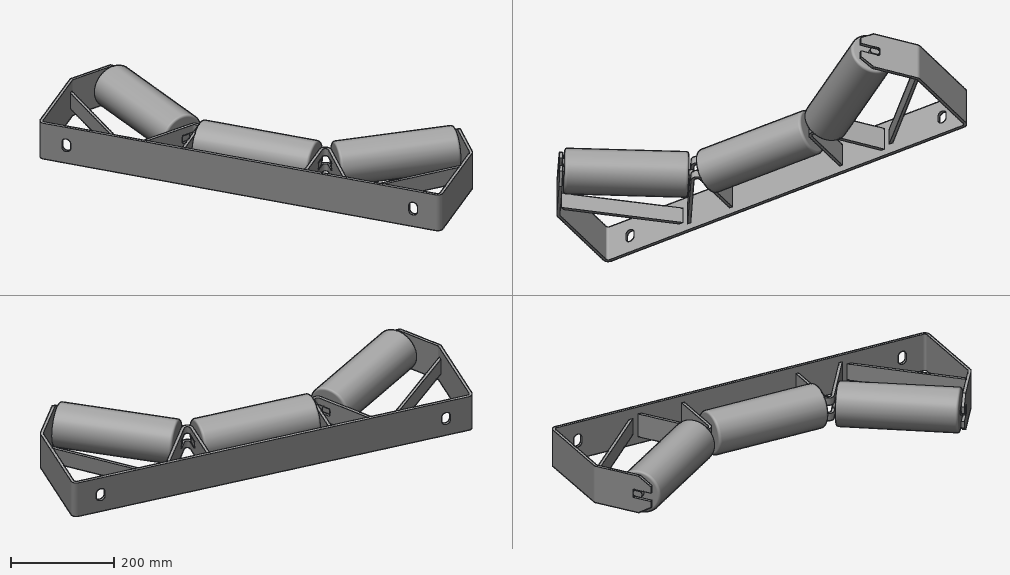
import cadquery as cq
import math

frame_height = 80.0
bracket_height = 50.0
strip_thickness = 6.0
frame_bend_radius = 11.0
trough_angle = 35.0

frame_length = 830.0
wing_bend_y = 180.0
wing_length = 121.5
wing_chamfer_run = 26.0
wing_chamfer_depth = 17.0
mount_slot_spacing = 715.0
mount_slot_width = 18.0
mount_slot_height = 28.0

roller_diameter = 89.0
roller_length = 240.0
roller_edge_radius = 5.0
shaft_diameter = 19.0
shaft_length = 258.0
shaft_flat_width = 13.0
centre_roller_y = 100.0
side_roller_x = 255.5
side_roller_y = 180.73

seat_width = 18.0
seat_corner_radius = 3.0
seat_length = 90.0

bracket_face_x = 123.0
bracket_bend_radius = 12.0
bracket_bend_y = 114.0

brace_height = 35.0
brace_angle = 44.0
brace_wall_y = 173.0

tilt = math.radians(trough_angle)
cos_tilt = math.cos(tilt)
sin_tilt = math.sin(tilt)
half_length = frame_length / 2
wall_inner_x = half_length - strip_thickness
shaft_radius = shaft_diameter / 2


def extrude_centred(sketch, height):
    """Extrude a sketch equally to both sides of its plane as one unbroken prism."""
    normal = sketch.plane.zDir
    return sketch.extrude(height).translate(normal * (-height / 2))


def tilted_to_right(body):
    """Move a body built around the origin, along X, to the right side roller position."""
    turned = body.rotate((0, 0, 0), (0, 0, 1), trough_angle)
    return turned.translate((side_roller_x, side_roller_y, 0))


def mirrored(body):
    return body.mirror("YZ")


def make_seat(x):
    """Cutter along X, centred at x, that holds a shaft from below and is open towards +Y."""
    cutter = cq.Workplane("XY").box(2 * strip_thickness, seat_length, seat_width)
    cutter = cutter.edges("<Y and |X").fillet(seat_corner_radius)
    return cutter.translate((x, seat_length / 2 - shaft_radius, 0))


def make_right_wing_corners(tip_x, tip_y):
    """Cutter for the two chamfered corners of the right wing, whose outer tip edge is at tip_x, tip_y."""
    half_height = frame_height / 2
    corners = cq.Workplane("YZ")
    for side in (-1, 1):
        corners = corners.polyline([
            (-wing_chamfer_run, side * half_height),
            (0, side * (half_height - wing_chamfer_depth)),
            (0, side * half_height),
        ]).close()
    cutter = corners.extrude(-strip_thickness)
    return cutter.rotate((0, 0, 0), (0, 0, 1), trough_angle).translate((tip_x, tip_y, 0))


def make_frame():
    tip_x = half_length - wing_length * sin_tilt
    tip_y = wing_bend_y + wing_length * cos_tilt
    inner_bend_y = wing_bend_y - strip_thickness * math.tan(tilt / 2)
    inner_tip_x = tip_x - strip_thickness * cos_tilt
    inner_tip_y = tip_y - strip_thickness * sin_tilt
    right_outer = [(half_length, 0), (half_length, wing_bend_y), (tip_x, tip_y)]
    right_inner = [(inner_tip_x, inner_tip_y), (wall_inner_x, inner_bend_y), (wall_inner_x, strip_thickness)]
    right_side = right_outer + right_inner
    left_side = [(-x, y) for x, y in reversed(right_side)]
    frame = extrude_centred(cq.Workplane("XY").polyline(right_side + left_side).close(), frame_height)

    inner_radius = frame_bend_radius - strip_thickness
    bends = [
        (half_length, 0, frame_bend_radius),
        (half_length, wing_bend_y, frame_bend_radius),
        (wall_inner_x, strip_thickness, inner_radius),
        (wall_inner_x, inner_bend_y, inner_radius),
    ]
    for x, y, radius in bends:
        for side in (-1, 1):
            edge = frame.edges("|Z").edges(cq.selectors.NearestToPointSelector((side * x, y, 0)))
            frame = edge.fillet(radius)

    slots = (
        cq.Workplane("XZ")
        .pushPoints([(-mount_slot_spacing / 2, 0), (mount_slot_spacing / 2, 0)])
        .slot2D(mount_slot_height, mount_slot_width, 90)
        .extrude(strip_thickness, both=True)
    )
    frame = frame.cut(slots)

    seat = tilted_to_right(make_seat(shaft_length / 2))
    corners = make_right_wing_corners(tip_x, tip_y)
    for cutter in (seat, corners):
        frame = frame.cut(cutter).cut(mirrored(cutter))
    return frame


def make_right_bracket():
    bend_x = bracket_face_x + bracket_bend_radius
    inner_radius = bracket_bend_radius - strip_thickness
    foot_y = strip_thickness

    def leg_point(radius, y=None):
        """Point of the leaning leg face at the given bend radius: its tangent point, or the one at y."""
        x = bend_x + radius * cos_tilt
        tangent_y = bracket_bend_y + radius * sin_tilt
        if y is None:
            return (x, tangent_y)
        return (x + (tangent_y - y) * math.tan(tilt), y)

    outline = (
        cq.Workplane("XY")
        .moveTo(bracket_face_x, foot_y)
        .lineTo(bracket_face_x, bracket_bend_y)
        .threePointArc((bend_x, bracket_bend_y + bracket_bend_radius), leg_point(bracket_bend_radius))
        .lineTo(*leg_point(bracket_bend_radius, foot_y))
        .lineTo(*leg_point(inner_radius, foot_y))
        .lineTo(*leg_point(inner_radius))
        .threePointArc(
            (bend_x, bracket_bend_y + inner_radius),
            (bend_x - inner_radius, bracket_bend_y),
        )
        .lineTo(bracket_face_x + strip_thickness, foot_y)
        .close()
    )
    bracket = extrude_centred(outline, bracket_height)
    centre_seat = make_seat(shaft_length / 2).translate((0, centre_roller_y, 0))
    side_seat = tilted_to_right(make_seat(-shaft_length / 2))
    return bracket.cut(centre_seat).cut(side_seat)


def make_right_brace():
    slope = math.radians(brace_angle)
    wall_drop = strip_thickness / math.cos(slope)
    foot_shift = strip_thickness / math.sin(slope)
    foot_x = wall_inner_x - (brace_wall_y - strip_thickness) / math.tan(slope)
    outline = cq.Workplane("XY").polyline([
        (wall_inner_x, brace_wall_y),
        (foot_x, strip_thickness),
        (foot_x + foot_shift, strip_thickness),
        (wall_inner_x, brace_wall_y - wall_drop),
    ]).close()
    return extrude_centred(outline, brace_height)


def make_roller():
    shell = extrude_centred(cq.Workplane("YZ").circle(roller_diameter / 2), roller_length)
    shell = shell.edges().fillet(roller_edge_radius)
    flats = cq.Workplane("XY").box(shaft_length, shaft_diameter, shaft_flat_width)
    shaft = extrude_centred(cq.Workplane("YZ").circle(shaft_radius), shaft_length).intersect(flats)
    return shell.union(shaft)


frame = make_frame()
right_bracket = make_right_bracket()
right_brace = make_right_brace()
centre_roller = make_roller().translate((0, centre_roller_y, 0))
right_roller = tilted_to_right(make_roller())

bodies = [frame, centre_roller]
for right_body in (right_bracket, right_brace, right_roller):
    bodies += [right_body, mirrored(right_body)]

result = cq.Compound.makeCompound([body.val() for body in bodies])